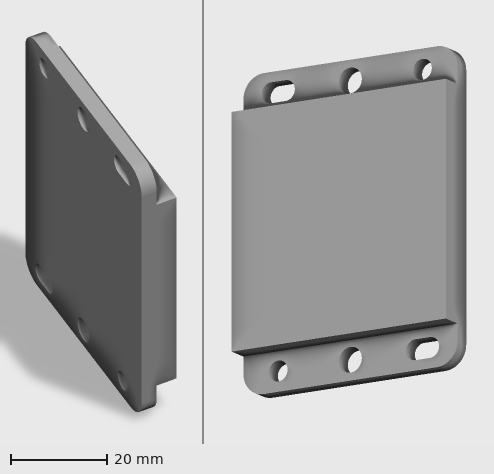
import cadquery as cq

width = 52.0
height = 69.0
plate_thickness = 3.5
corner_radius = 5.0

total_depth = 8.2
block_height = 51.55

hole_row_offset = 30.0
outer_hole_offset = 17.5
small_hole_diameter = 4.5
middle_hole_diameter = 5.5
slot_length = 8.0

FRONT = cq.Workplane("XZ")


def make_plate():
    plate = FRONT.rect(width, height).extrude(-plate_thickness)
    return plate.edges("|Y").fillet(corner_radius)


def make_block():
    return FRONT.rect(width, block_height).extrude(-total_depth)


def round_holes(points, diameter):
    return FRONT.pushPoints(points).circle(diameter / 2).extrude(-plate_thickness)


def slots(points):
    return FRONT.pushPoints(points).slot2D(slot_length, small_hole_diameter).extrude(-plate_thickness)


small_hole_points = [
    (-outer_hole_offset, hole_row_offset),
    (outer_hole_offset, -hole_row_offset),
]
slot_points = [(-x, z) for x, z in small_hole_points]
middle_hole_points = [(0, hole_row_offset), (0, -hole_row_offset)]

result = (
    make_plate()
    .union(make_block())
    .cut(round_holes(small_hole_points, small_hole_diameter))
    .cut(round_holes(middle_hole_points, middle_hole_diameter))
    .cut(slots(slot_points))
)